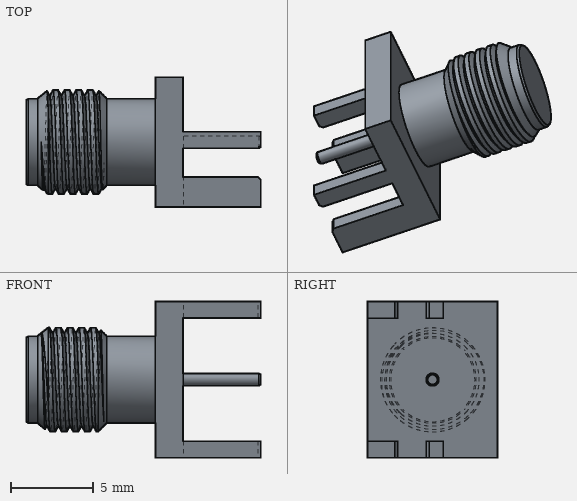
import cadquery as cq
import math


length = 14.3
flange_width = 7.92
flange_height = 9.52
flange_front = 7.88
flange_thickness = 1.69
flange_back = flange_front + flange_thickness

barrel_radius = 2.65
mouth_chamfer_length = 0.15
mouth_chamfer_depth = 0.09
shoulder_front = 0.7
shoulder_back = 0.79
shoulder_radius = 2.73
thread_radius = 3.17
lead_in_end = 1.35
collar_back = 4.92
collar_chamfer = thread_radius - barrel_radius

pitch = 0.705
crest_width = 0.3
flank_angle = 30.0
groove_start = 0.92
thread_turns = 6
cutter_overlap = 0.09

leg_thickness = 1.02
narrow_leg_y = (-0.39, 0.65)
wide_leg_y = (-flange_width / 2, -2.12)
leg_chamfer = 0.19
pin_radius = 0.39
pin_chamfer_length = 0.13
pin_chamfer_depth = 0.09


def make_barrel():
    """Barrel and collar before threading, revolved about X."""
    profile = [
        (0, 0),
        (0, barrel_radius - mouth_chamfer_depth),
        (mouth_chamfer_length, barrel_radius),
        (shoulder_front, barrel_radius),
        (shoulder_back, shoulder_radius),
        (lead_in_end, thread_radius),
        (collar_back - collar_chamfer, thread_radius),
        (collar_back, barrel_radius),
        (flange_back, barrel_radius),
        (flange_back, 0),
    ]
    return cq.Workplane("XY").polyline(profile).close().revolve(360, (0, 0), (1, 0))


def make_thread_cutter():
    """Triangular section swept along a helix; its tip cuts the thread root."""
    slope = math.tan(math.radians(flank_angle))
    groove_half_width = (pitch - crest_width) / 2
    root_radius = thread_radius - groove_half_width / slope
    outer_radius = thread_radius + cutter_overlap
    outer_half_width = groove_half_width + cutter_overlap * slope
    helix = cq.Wire.makeHelix(pitch, pitch * thread_turns, root_radius)
    section = [
        (root_radius, 0),
        (outer_radius, outer_half_width),
        (outer_radius, -outer_half_width),
    ]
    cutter = cq.Workplane("XZ").polyline(section).close().sweep(cq.Workplane(helix), isFrenet=True)
    cutter = cutter.rotate((0, 0, 0), (0, 1, 0), 90).rotate((0, 0, 0), (1, 0, 0), 180)
    return cutter.translate((groove_start, 0, 0))


def make_threaded_barrel():
    """Thread a plain rod, then trim it to the barrel so the groove runs out on the cones."""
    rod = cq.Workplane("YZ").circle(thread_radius).extrude(flange_back)
    return rod.cut(make_thread_cutter()).intersect(make_barrel())


def make_flange():
    return (
        cq.Workplane("XY")
        .box(flange_thickness, flange_width, flange_height, centered=(False, True, True))
        .translate((flange_front, 0, 0))
    )


def make_leg(y_range, chamfered_edge, side):
    """Leg flush with the top (side = 1) or bottom (side = -1) of the flange."""
    y_low, y_high = y_range
    leg_center_z = side * (flange_height - leg_thickness) / 2
    return (
        cq.Workplane("XY")
        .box(length - flange_front, y_high - y_low, leg_thickness, centered=(False, False, True))
        .edges(chamfered_edge)
        .chamfer(leg_chamfer)
        .translate((flange_front, y_low, leg_center_z))
    )


def make_pin():
    return (
        cq.Workplane("YZ", origin=(flange_front, 0, 0))
        .circle(pin_radius)
        .extrude(length - flange_front)
        .faces(">X")
        .chamfer(pin_chamfer_length, pin_chamfer_depth)
    )


result = make_threaded_barrel().union(make_flange()).union(make_pin())
for side in (1, -1):
    result = result.union(make_leg(narrow_leg_y, "|Z and >X and <Y", side))
    result = result.union(make_leg(wide_leg_y, "|Z and >X and >Y", side))